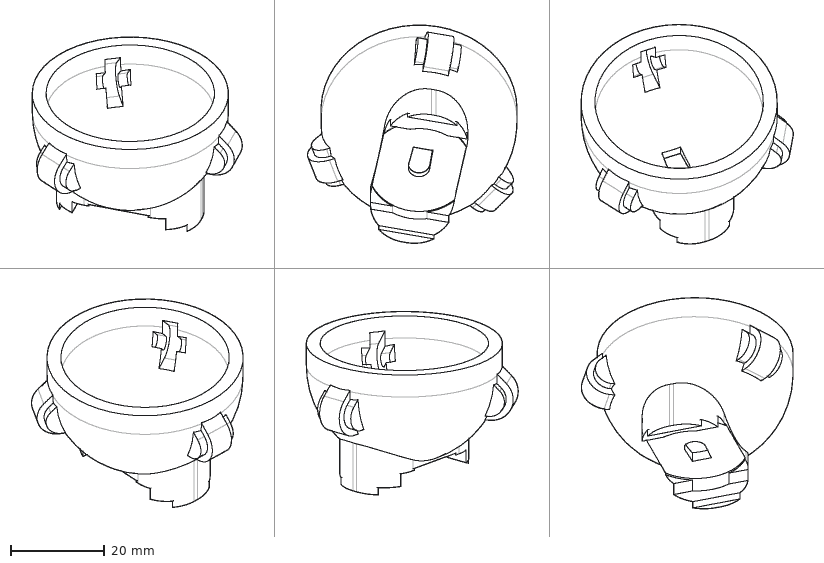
import cadquery as cq
import math


overall_length = 45.3
bowl_radius = 42.0 / 2
cavity_radius = 36.0 / 2
rim_height = 5.0

total_height = 29.4
base_bottom = rim_height - total_height
base_length = 32.1
base_width = 18.0
base_corner_radius = 8.5
base_top = -12.0

channels = [(-13.95, 14.5, 1.65), (-10.3, 10.7, 4.5)]
round_pocket_radius = 11.2
round_pocket_x = 0.25
round_pocket_height = 4.9

hole_radius = 2.3
hole_end_x = 4.6
hole_end_half_width = 2.15

hinge_count = 3
housing_radius = 5.0
housing_width = 5.57
ear_radius = 3.45
ear_width = 9.42
hinge_wall = 1.0
slot_side_wall = 1.1
slot_radius = housing_radius - hinge_wall
slot_width = housing_width - 2 * slot_side_wall
pin_radius = 1.5
pin_width = ear_width - 2 * hinge_wall
hinge_x = overall_length - bowl_radius - housing_radius
hinge_z = -5.25
housing_root_x = 16.3
slot_inner_x = 13.6
pin_channel_length = 6.8


def hinge_block(radius, width, inner_x):
    """Block across Y: round outside, flat below, with a 45 degree tangent rising inward to inner_x."""
    diagonal = radius * math.sqrt(0.5)
    tangent_x = hinge_x + diagonal
    tangent_z = hinge_z + diagonal
    inner_top_z = tangent_z + tangent_x - inner_x
    return (
        cq.Workplane("XZ")
        .moveTo(inner_x, hinge_z - radius)
        .lineTo(hinge_x, hinge_z - radius)
        .threePointArc((hinge_x + radius, hinge_z), (tangent_x, tangent_z))
        .lineTo(inner_x, inner_top_z)
        .close()
        .extrude(width / 2, both=True)
    )


def pin_channel():
    """Round-ended channel that drops outward at 45 degrees to the hinge centre."""
    return (
        cq.Workplane("XZ")
        .center(hinge_x, hinge_z)
        .transformed(rotate=(0, 0, 135))
        .moveTo(0, -pin_radius)
        .lineTo(pin_channel_length, -pin_radius)
        .lineTo(pin_channel_length, pin_radius)
        .lineTo(0, pin_radius)
        .threePointArc((-pin_radius, 0), (0, -pin_radius))
        .close()
        .extrude(pin_width / 2, both=True)
    )


def bowl_shape(radius):
    """Half ball below the equator with a cylinder of the same radius up to the rim."""
    return (
        cq.Workplane("XZ")
        .moveTo(0, -radius)
        .threePointArc((radius * math.sqrt(0.5), -radius * math.sqrt(0.5)), (radius, 0))
        .lineTo(radius, rim_height)
        .lineTo(0, rim_height)
        .close()
        .revolve(360, (0, 0, 0), (0, 1, 0))
    )


def base():
    return (
        cq.Workplane("XY", origin=(0, 0, base_bottom))
        .rect(base_length, base_width)
        .extrude(base_top - base_bottom)
        .edges("|Z")
        .fillet(base_corner_radius)
    )


def channel(left_x, right_x, height):
    """Box running right through the base along Y, open at the bottom."""
    return (
        cq.Workplane("XY", origin=((left_x + right_x) / 2, 0, base_bottom))
        .rect(right_x - left_x, base_width)
        .extrude(height)
    )


def round_pocket():
    return (
        cq.Workplane("XY", origin=(round_pocket_x, 0, base_bottom))
        .circle(round_pocket_radius)
        .extrude(round_pocket_height)
    )


def floor_hole():
    return (
        cq.Workplane("XY", origin=(0, 0, base_bottom))
        .moveTo(0, hole_radius)
        .threePointArc((-hole_radius, 0), (0, -hole_radius))
        .lineTo(hole_end_x, -hole_end_half_width)
        .lineTo(hole_end_x, hole_end_half_width)
        .close()
        .extrude(-base_bottom)
    )


hinge_angles = [i * 360 / hinge_count for i in range(hinge_count)]
housing = hinge_block(housing_radius, housing_width, housing_root_x)
ears = hinge_block(ear_radius, ear_width, housing_root_x)
hinge_slot = hinge_block(slot_radius, slot_width, slot_inner_x)
hinge_pin_channel = pin_channel()

body = bowl_shape(bowl_radius).union(base())
for angle in hinge_angles:
    for block in (housing, ears):
        body = body.union(block.rotate((0, 0, 0), (0, 0, 1), angle))

body = body.cut(bowl_shape(cavity_radius))
for angle in hinge_angles:
    for pocket in (hinge_slot, hinge_pin_channel):
        body = body.cut(pocket.rotate((0, 0, 0), (0, 0, 1), angle))

for left_x, right_x, channel_height in channels:
    body = body.cut(channel(left_x, right_x, channel_height))
body = body.cut(round_pocket())
result = body.cut(floor_hole())